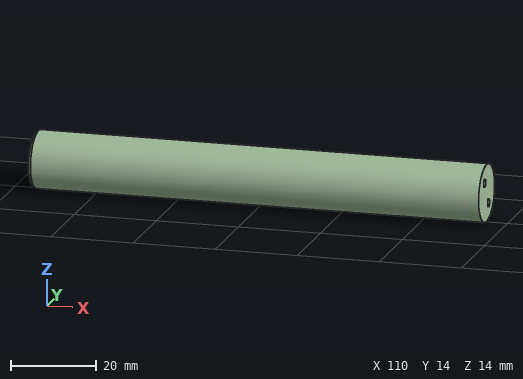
import cadquery as cq

length = 110.0
diameter = 14.0
chamfer = 0.8

channel_count = 2
channel_diameter = 1.9
channel_circle_diameter = 6.6
first_channel_angle = 120.0
channel_turns = 1.0


def bar():
    """Solid cylinder with only its -X rim chamfered."""
    cylinder = cq.Workplane("YZ").circle(diameter / 2).extrude(length)
    return cylinder.faces("<X").chamfer(chamfer)


def twisted_channels():
    """Cutters for the channels, which wind around the bar axis from end to end."""
    return (
        cq.Workplane("YZ")
        .polarArray(channel_circle_diameter / 2, first_channel_angle, 360, channel_count)
        .circle(channel_diameter / 2)
        .twistExtrude(length, 360 * channel_turns)
    )


result = bar().cut(twisted_channels())